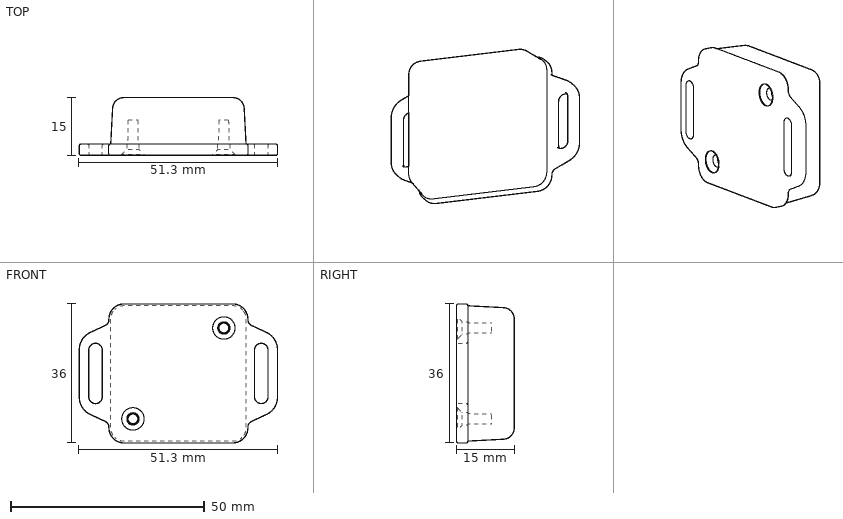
import cadquery as cq
import math


total_length = 51.3
total_depth = 15.0

plate_side = 36.0
plate_thickness = 3.0
plate_corner_radius = 4.0
plate_edge_radius = 0.5

ear_tip_half_height = 9.3
ear_slope_angle = 25.0
ear_tip_radius = 5.0
ear_root_radius = 1.5
ear_reach = (total_length - plate_side) / 2
ear_root_half_height = ear_tip_half_height + ear_reach * math.tan(math.radians(ear_slope_angle))

slot_width = 3.45
slot_length = 15.55
slot_margin = 2.5
slot_x = total_length / 2 - slot_margin - slot_width / 2

screw_offset = 11.75
screw_positions = [(-screw_offset, -screw_offset), (screw_offset, screw_offset)]
clearance_diameter = 3.2
countersink_diameter = 5.8
countersink_recess = 0.25
countersink_depth = 1.5
pilot_mouth_diameter = 2.7
pilot_end_diameter = 2.5
pilot_depth = 6.15

housing_rim = 0.485
housing_side = plate_side - 2 * housing_rim
housing_height = total_depth - plate_thickness
housing_draft = 3.0
housing_corner_radius = plate_corner_radius - housing_rim
housing_top_radius = 3.0


def plane_at(y):
    """Sketch plane parallel to XZ at the given y, extruding toward +Y, with +Z up."""
    return cq.Plane(origin=(0, y, 0), xDir=(-1, 0, 0), normal=(0, 1, 0))


def revolved_cutter(profile, x, z):
    """Turned solid from (radius, y) points, with its axis along Y through (x, z)."""
    turned = cq.Workplane("XY").polyline(profile).close().revolve(360, (0, 0), (0, 1))
    return turned.translate((x, 0, z))


def make_plate_blank():
    """Rounded square plate with two tapering ears, with every corner of its outline rounded."""
    square = cq.Workplane(plane_at(0)).rect(plate_side, plate_side).extrude(plate_thickness)
    square = square.edges("|Y").fillet(plate_corner_radius)

    tip_x = total_length / 2
    root_x = plate_side / 2
    ear_outline = [
        (-tip_x, -ear_tip_half_height),
        (-root_x, -ear_root_half_height),
        (root_x, -ear_root_half_height),
        (tip_x, -ear_tip_half_height),
        (tip_x, ear_tip_half_height),
        (root_x, ear_root_half_height),
        (-root_x, ear_root_half_height),
        (-tip_x, ear_tip_half_height),
    ]
    ears = cq.Workplane(plane_at(0)).polyline(ear_outline).close().extrude(plate_thickness)
    ears = ears.edges("|Y and (<X or >X)").fillet(ear_tip_radius)

    blank = square.union(ears)
    for x in (-root_x, root_x):
        for z in (-ear_root_half_height, ear_root_half_height):
            nearest = cq.selectors.NearestToPointSelector((x, plate_thickness / 2, z))
            blank = blank.edges("|Y").edges(nearest).fillet(ear_root_radius)
    return blank


def make_clearance_hole(x, z):
    """Cutter for one screw hole: a shallow round recess, a cone, then a straight clearance hole."""
    countersink_radius = countersink_diameter / 2
    clearance_radius = clearance_diameter / 2
    profile = [
        (0, 0),
        (countersink_radius, 0),
        (countersink_radius, countersink_recess),
        (clearance_radius, countersink_depth),
        (clearance_radius, plate_thickness),
        (0, plate_thickness),
    ]
    return revolved_cutter(profile, x, z)


def make_plate():
    """Mounting plate with strap slots and countersunk screw holes."""
    slots = (
        cq.Workplane(plane_at(0))
        .pushPoints([(-slot_x, 0), (slot_x, 0)])
        .slot2D(slot_length, slot_width, 90)
        .extrude(plate_thickness)
    )
    plate = make_plate_blank().faces("<Y").edges().fillet(plate_edge_radius)
    plate = plate.cut(slots).faces(">Y").edges().fillet(plate_edge_radius)
    for x, z in screw_positions:
        plate = plate.cut(make_clearance_hole(x, z))
    return plate


def make_pilot_hole(x, z):
    """Cutter for one blind screw hole in the housing, narrowing slightly toward its end."""
    profile = [
        (0, plate_thickness),
        (pilot_mouth_diameter / 2, plate_thickness),
        (pilot_end_diameter / 2, plate_thickness + pilot_depth),
        (0, plate_thickness + pilot_depth),
    ]
    return revolved_cutter(profile, x, z)


def make_housing():
    """Drafted block with rounded corners and two blind pilot holes in its base."""
    housing = (
        cq.Workplane(plane_at(plate_thickness))
        .rect(housing_side, housing_side)
        .extrude(housing_height, taper=housing_draft)
    )
    housing = housing.edges("not #Y").fillet(housing_corner_radius)
    housing = housing.faces(">Y").edges().fillet(housing_top_radius)

    for x, z in screw_positions:
        housing = housing.cut(make_pilot_hole(x, z))
    return housing


plate = make_plate()
housing = make_housing()

result = cq.Compound.makeCompound([plate.val(), housing.val()])